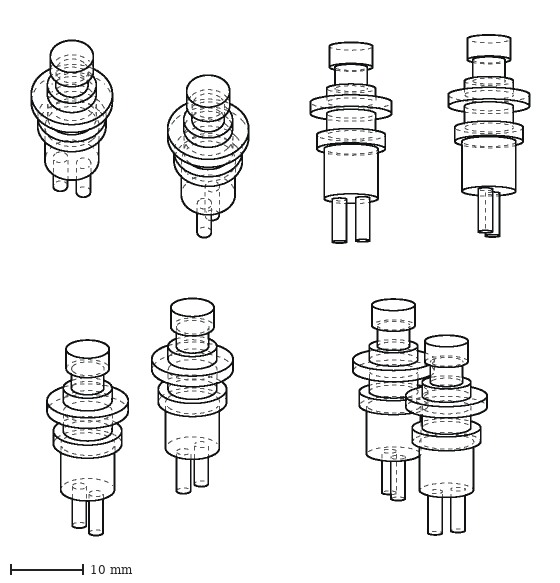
import cadquery as cq

overall_length = 31.3
flange_diameter = 11.3
switch_spacing = overall_length - flange_diameter
quarter_turn = 90.0

housing_diameter = 7.5
collar_diameter = 9.5
neck_diameter = 6.8
stem_diameter = 4.5
cap_diameter = 6.0

housing_height = 7.0
collar_height = 2.0
lower_neck_height = 2.97
flange_height = 1.63
upper_neck_height = 1.95
stem_height = 2.97
cap_height = 2.97

leg_diameter = 2.0
leg_length = 6.0
leg_spacing = 3.38

sections = [
    (housing_diameter, housing_height),
    (collar_diameter, collar_height),
    (neck_diameter, lower_neck_height),
    (flange_diameter, flange_height),
    (neck_diameter, upper_neck_height),
    (stem_diameter, stem_height),
    (cap_diameter, cap_height),
]


def make_stepped_body():
    """Coaxial cylinders stacked upward from the top of the legs."""
    body = cq.Workplane("XY").workplane(offset=leg_length)
    for diameter, height in sections:
        body = body.circle(diameter / 2).extrude(height).faces(">Z").workplane()
    return body


def make_legs():
    """Pair of round terminals spaced along X."""
    leg_places = [(-leg_spacing / 2, 0), (leg_spacing / 2, 0)]
    return cq.Workplane("XY").pushPoints(leg_places).circle(leg_diameter / 2).extrude(leg_length)


def make_switch(x_position, turn_angle):
    """One push-button switch, turned about its own axis and moved along X."""
    switch = make_stepped_body().union(make_legs())
    return switch.rotate((0, 0, 0), (0, 0, 1), turn_angle).translate((x_position, 0, 0))


switch_places = [(-switch_spacing / 2, 0), (switch_spacing / 2, quarter_turn)]
switches = [make_switch(x_position, turn_angle) for x_position, turn_angle in switch_places]

result = cq.Compound.makeCompound([switch.solids().val() for switch in switches])